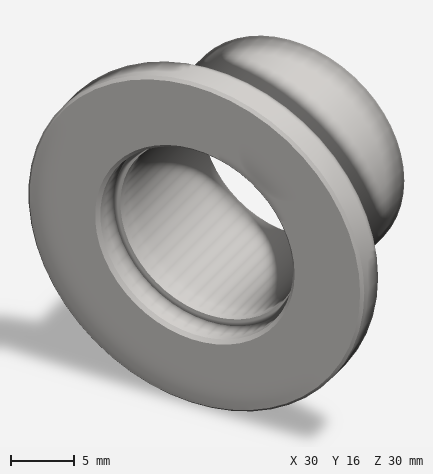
import cadquery as cq
import math

flange_radius = 15.0
total_length = 16.0
tube_radius = 10.0
bore_radius = 8.0

edge_chamfer = 0.25
rim_end = 2.25
rim_fillet = 1.0
taper_angle = math.radians(15)

recess_radius = 8.6
recess_depth = 2.5
recess_chamfer = 0.3

arc_center_radius = flange_radius - rim_fillet


def rim_arc_point(angle):
    """Point on the rim arc, with the angle measured from the radial direction."""
    return (
        arc_center_radius + rim_fillet * math.cos(angle),
        rim_end + rim_fillet * math.sin(angle),
    )


arc_sweep = math.pi / 2 - taper_angle
arc_middle = rim_arc_point(arc_sweep / 2)
taper_start = rim_arc_point(arc_sweep)
taper_end = taper_start[1] + (taper_start[0] - tube_radius) * math.tan(taper_angle)

profile = (
    cq.Workplane("XY")
    .moveTo(recess_radius + recess_chamfer, 0)
    .lineTo(flange_radius - edge_chamfer, 0)
    .lineTo(flange_radius, edge_chamfer)
    .lineTo(flange_radius, rim_end)
    .threePointArc(arc_middle, taper_start)
    .lineTo(tube_radius, taper_end)
    .lineTo(tube_radius, total_length)
    .lineTo(bore_radius, total_length)
    .lineTo(bore_radius, recess_depth)
    .lineTo(recess_radius, recess_depth)
    .lineTo(recess_radius, recess_chamfer)
    .close()
)

result = profile.revolve(360, (0, 0, 0), (0, 1, 0))